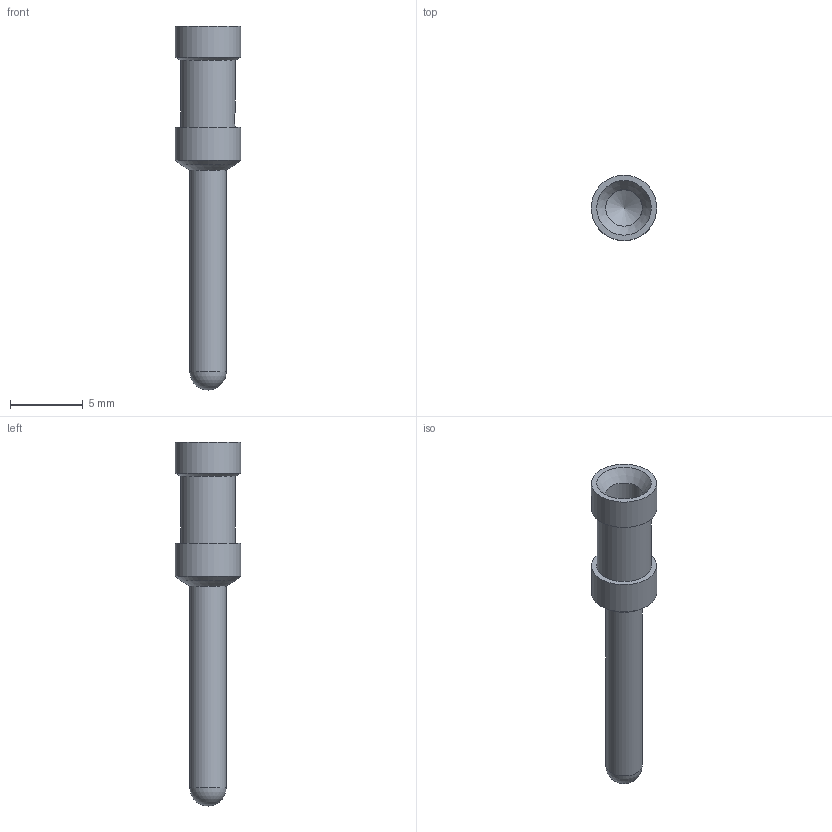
import cadquery as cq
import math

total_length = 25.0
body_diameter = 4.5
neck_diameter = 3.75
pin_diameter = 2.5
collar_break_diameter = 3.8

collar_bottom = 15.1
collar_break = 15.48
collar_edge = 15.77
collar_top = 18.05
head_taper_bottom = 22.64
head_edge = 22.86

bore_diameter = 2.5
funnel_depth = 0.87
bore_floor = collar_top
drill_point_angle = 118.0

inspection_diameter = 1.1
inspection_height = 18.6

body_radius = body_diameter / 2
neck_radius = neck_diameter / 2
collar_break_radius = collar_break_diameter / 2
pin_radius = pin_diameter / 2
bore_radius = bore_diameter / 2


def make_turned_body():
    """Revolve the outer outline: domed pin, double-tapered collar, neck and head."""
    dome_mid = (pin_radius * math.sin(math.pi / 4), pin_radius * (1 - math.cos(math.pi / 4)))

    outline = (
        cq.Workplane("XZ")
        .moveTo(0, 0)
        .threePointArc(dome_mid, (pin_radius, pin_radius))
        .lineTo(pin_radius, collar_bottom)
        .lineTo(collar_break_radius, collar_break)
        .lineTo(body_radius, collar_edge)
        .lineTo(body_radius, collar_top)
        .lineTo(neck_radius, collar_top)
        .lineTo(neck_radius, head_taper_bottom)
        .lineTo(body_radius, head_edge)
        .lineTo(body_radius, total_length)
        .lineTo(0, total_length)
        .close()
    )
    return outline.revolve(360, (0, 0, 0), (0, 1, 0))


def make_socket():
    """Funnel mouth, straight bore and drill-point floor, as a cutting solid."""
    drill_point_depth = bore_radius / math.tan(math.radians(drill_point_angle / 2))
    outline = (
        cq.Workplane("XZ")
        .moveTo(0, bore_floor - drill_point_depth)
        .lineTo(bore_radius, bore_floor)
        .lineTo(bore_radius, total_length - funnel_depth)
        .lineTo(neck_radius, total_length)
        .lineTo(0, total_length)
        .close()
    )
    return outline.revolve(360, (0, 0, 0), (0, 1, 0))


def make_inspection_hole():
    """Radial drill from the axis out through the +X side."""
    return (
        cq.Workplane("YZ")
        .center(0, inspection_height)
        .circle(inspection_diameter / 2)
        .extrude(body_radius)
    )


result = make_turned_body().cut(make_socket()).cut(make_inspection_hole())